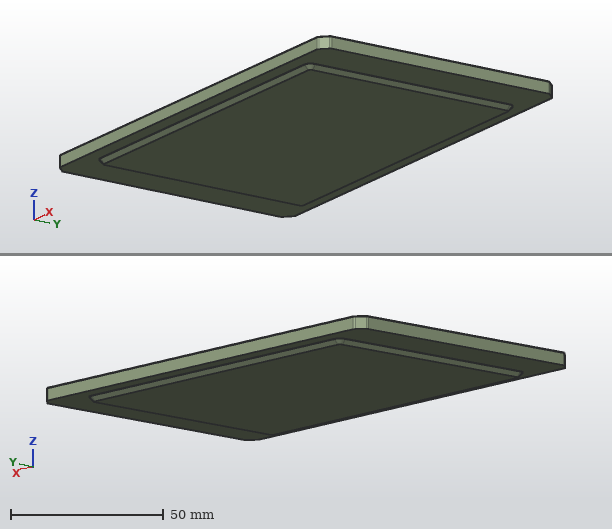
import cadquery as cq

length = 158.0
width = 93.0
total_height = 6.2
plate_thickness = 4.5
corner_cut = 3.2
corner_blend_radius = 1.1
top_edge_chamfer = 0.3

pad_length = 125.1
pad_width = 82.2
pad_height = total_height - plate_thickness
pad_corner_radius = 2.5
pad_chamfer = 1.6


def make_plate():
    """Flat plate with softened, clipped corners and a bevelled top edge."""
    plate = cq.Workplane("XY").box(length, width, plate_thickness, centered=(True, True, False))
    plate = plate.edges("|Z").chamfer(corner_cut)
    plate = plate.edges("|Z").fillet(corner_blend_radius)
    return plate.faces(">Z").edges().chamfer(top_edge_chamfer)


def make_pad():
    """Shallow rounded pad below the plate, bevelled around its lower face."""
    pad = cq.Workplane("XY").box(pad_length, pad_width, pad_height, centered=(True, True, False))
    pad = pad.edges("|Z").fillet(pad_corner_radius)
    pad = pad.faces("<Z").edges().chamfer(pad_chamfer)
    return pad.translate((0, 0, -pad_height))


result = make_plate().union(make_pad())